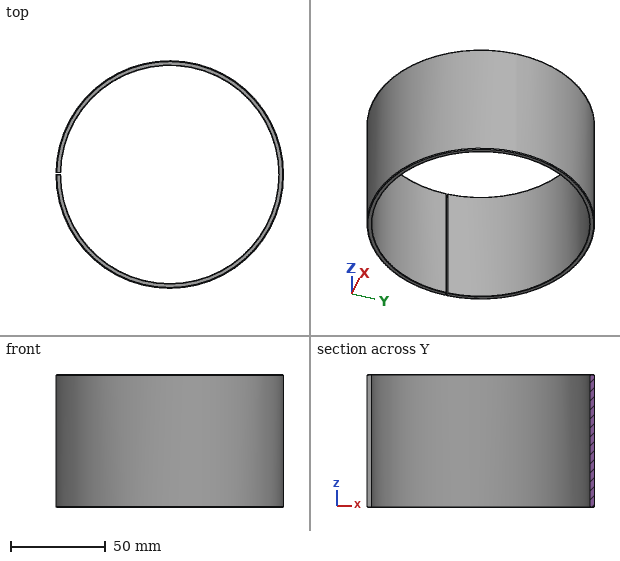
import cadquery as cq

outer_diameter = 120.0
wall = 2.5
height = 70.0
slit_width = 1.0
outer_chamfer = 0.5
inner_chamfer = 0.2

outer_radius = outer_diameter / 2
inner_radius = outer_radius - wall


def sleeve():
    """Revolve the wall section, chamfered at all four corners, around Z."""
    section = (
        cq.Workplane("XZ")
        .moveTo(inner_radius + inner_chamfer, 0)
        .lineTo(outer_radius - outer_chamfer, 0)
        .lineTo(outer_radius, outer_chamfer)
        .lineTo(outer_radius, height - outer_chamfer)
        .lineTo(outer_radius - outer_chamfer, height)
        .lineTo(inner_radius + inner_chamfer, height)
        .lineTo(inner_radius, height - inner_chamfer)
        .lineTo(inner_radius, inner_chamfer)
        .close()
    )
    return section.revolve(360, (0, 0, 0), (0, 1, 0))


def slit():
    """Full-height slot through the -X wall, with one face on the Y = 0 plane."""
    slot_length = 2 * wall
    return cq.Workplane("XY").box(
        slot_length, slit_width, height, centered=(True, False, False)
    ).translate((wall / 2 - outer_radius, 0, 0))


result = sleeve().cut(slit())